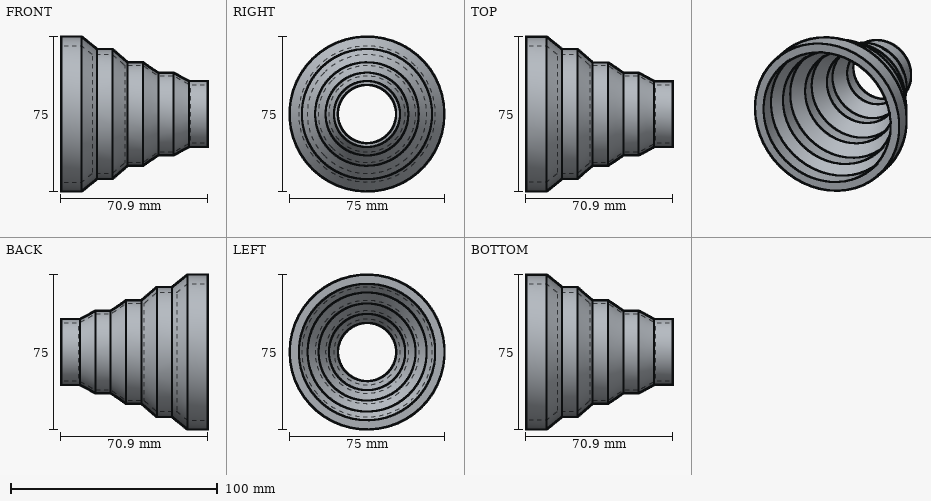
import cadquery as cq

mouth_length = 9.9
step_length = 7.4
spigot_length = 9.15

outer_radii = [37.5, 31.5, 25.05, 20.0, 16.0]
bore_radii = [33, 28.8, 23.5, 18.45, 14.0]

cone_count = len(outer_radii) - 1
cone_starts = [mouth_length + 2 * step_length * i for i in range(cone_count)]
total_length = cone_starts[-1] + step_length + spigot_length


def stepped_solid(radii):
    """Solid of revolution with cylinders of the given radii joined by cones.

    Every cone keeps the slope of the outer cone at the same place, so outer
    and bore cones are parallel.
    """
    profile = [(0, 0), (0, radii[0])]
    for i, start in enumerate(cone_starts):
        length_per_drop = step_length / (outer_radii[i] - outer_radii[i + 1])
        cone_length = (radii[i] - radii[i + 1]) * length_per_drop
        profile.append((start, radii[i]))
        profile.append((start + cone_length, radii[i + 1]))
    profile.append((total_length, radii[-1]))
    profile.append((total_length, 0))
    return cq.Workplane("XY").polyline(profile).close().revolve(360, (0, 0, 0), (1, 0, 0))


body = stepped_solid(outer_radii)
bore = stepped_solid(bore_radii)
result = body.cut(bore)